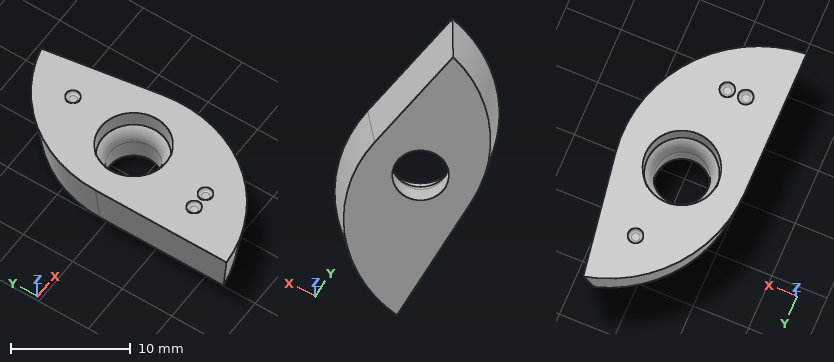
import cadquery as cq
import math

height = 4.75
flank_distance = 11.4 / 2
flank_angle = 9.0
arc_radius = 12.29
draft_angle = 9.0

bore_radius = 4.7 / 2
seat_top_radius = 6.57 / 2
seat_bottom_radius = 6.27 / 2
seat_depth = 1.47
shoulder_depth = 2.78

dimple_radius = 0.65
dimple_depth = 0.3
dimple_pair_y = -7.8
dimple_centers = [(1.25, 6.98), (-2.48, dimple_pair_y), (-0.8, dimple_pair_y)]


def along(angle, distance):
    """Point at a distance from the hole axis, in a direction given in degrees."""
    return (
        distance * math.cos(math.radians(angle)),
        distance * math.sin(math.radians(angle)),
    )


def arc_middle(center, start, end):
    """Point of an arc halfway between its ends, on the side away from its center."""
    chord_x = (start[0] + end[0]) / 2 - center[0]
    chord_y = (start[1] + end[1]) / 2 - center[1]
    stretch = arc_radius / math.hypot(chord_x, chord_y)
    return (center[0] + chord_x * stretch, center[1] + chord_y * stretch)


def make_body():
    center_distance = arc_radius - flank_distance
    left_tangent = along(180, flank_distance)
    right_tangent = along(flank_angle, flank_distance)
    left_arc_center = along(0, center_distance)
    right_arc_center = along(180 + flank_angle, center_distance)

    center_to_flank = flank_distance - center_distance * math.cos(math.radians(flank_angle))
    half_chord = math.sqrt(arc_radius**2 - center_to_flank**2)
    center_shift = center_distance * math.sin(math.radians(flank_angle))
    lower_tip = (-flank_distance, -half_chord - center_shift)
    upper_run = half_chord - center_shift
    run_x, run_y = along(flank_angle + 90, upper_run)
    upper_tip = (right_tangent[0] + run_x, right_tangent[1] + run_y)

    return (
        cq.Workplane("XY")
        .moveTo(*lower_tip)
        .lineTo(*left_tangent)
        .threePointArc(arc_middle(left_arc_center, left_tangent, upper_tip), upper_tip)
        .lineTo(*right_tangent)
        .threePointArc(arc_middle(right_arc_center, right_tangent, lower_tip), lower_tip)
        .close()
        .extrude(-height, taper=draft_angle)
    )


def make_screw_hole():
    shoulder_width = seat_bottom_radius - bore_radius
    shoulder_height = shoulder_depth - seat_depth
    shoulder_radius = (shoulder_width**2 + shoulder_height**2) / (2 * shoulder_width)
    half_sweep = math.asin(shoulder_height / shoulder_radius) / 2
    shoulder_middle = (
        bore_radius + shoulder_radius * (1 - math.cos(half_sweep)),
        -shoulder_depth + shoulder_radius * math.sin(half_sweep),
    )
    return (
        cq.Workplane("XZ")
        .moveTo(0, 0)
        .lineTo(seat_top_radius, 0)
        .lineTo(seat_bottom_radius, -seat_depth)
        .threePointArc(shoulder_middle, (bore_radius, -shoulder_depth))
        .lineTo(bore_radius, -height)
        .lineTo(0, -height)
        .close()
        .revolve(360, (0, 0, 0), (0, 1, 0))
    )


def make_dimple(x, y):
    floor_radius = dimple_radius - dimple_depth
    wall_middle = (
        floor_radius + dimple_depth * math.cos(math.radians(45)),
        -dimple_depth * math.sin(math.radians(45)),
    )
    return (
        cq.Workplane("XZ")
        .moveTo(0, 0)
        .lineTo(dimple_radius, 0)
        .threePointArc(wall_middle, (floor_radius, -dimple_depth))
        .lineTo(0, -dimple_depth)
        .close()
        .revolve(360, (0, 0, 0), (0, 1, 0))
        .translate((x, y, 0))
    )


result = make_body().cut(make_screw_hole())
for center_x, center_y in dimple_centers:
    result = result.cut(make_dimple(center_x, center_y))